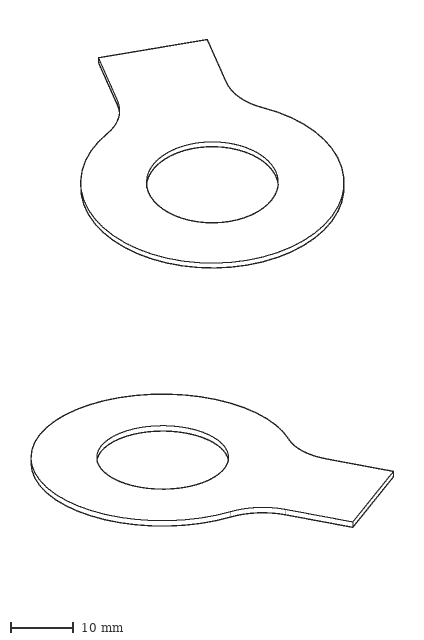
import cadquery as cq
import math

outer_diameter = 42.0
hole_diameter = 21.0
thickness = 1.0
tab_width = 18.0
tab_reach = 36.0
neck_radius = 10.0

outer_radius = outer_diameter / 2
half_width = tab_width / 2

neck_center_y = half_width + neck_radius
neck_center_distance = outer_radius + neck_radius
neck_center_x = -math.sqrt(neck_center_distance**2 - neck_center_y**2)

touch_ratio = outer_radius / neck_center_distance
touch_x = neck_center_x * touch_ratio
touch_y = neck_center_y * touch_ratio


def make_blank():
    """Ring and tab as one flat plate without the hole."""
    return (
        cq.Workplane("XY")
        .moveTo(-tab_reach, -half_width)
        .lineTo(neck_center_x, -half_width)
        .tangentArcPoint((touch_x, -touch_y), relative=False)
        .threePointArc((outer_radius, 0), (touch_x, touch_y))
        .tangentArcPoint((neck_center_x, half_width), relative=False)
        .lineTo(-tab_reach, half_width)
        .close()
        .extrude(thickness)
    )


def make_hole():
    """Round through hole at the ring centre."""
    return cq.Workplane("XY").circle(hole_diameter / 2).extrude(thickness)


result = make_blank().cut(make_hole())